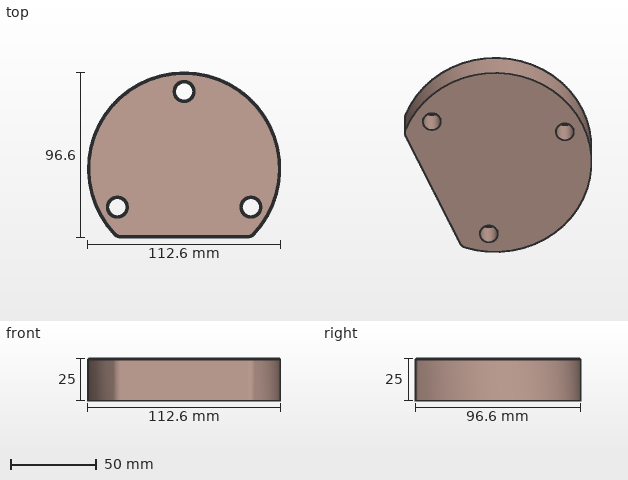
import cadquery as cq

disc_radius = 56.3
flat_distance = 40.3
thickness = 25.0
corner_radius = 5.0
edge_chamfer = 1.0

hole_count = 3
hole_circle_radius = 45.1
hole_diameter = 10.5
first_hole_angle = 90.0


def make_plate():
    disc = cq.Workplane("XY").circle(disc_radius).extrude(thickness)
    kept_depth = disc_radius + flat_distance
    kept_side = (
        cq.Workplane("XY")
        .center(0, (disc_radius - flat_distance) / 2)
        .rect(2 * disc_radius, kept_depth)
        .extrude(thickness)
    )
    plate = disc.intersect(kept_side)
    return plate.faces("<Y").edges("|Z").fillet(corner_radius)


def drill_holes(plate):
    return (
        plate.faces(">Z")
        .workplane(origin=(0, 0, thickness))
        .polarArray(hole_circle_radius, first_hole_angle, 360, hole_count)
        .hole(hole_diameter)
    )


result = drill_holes(make_plate()).faces(">Z").edges().chamfer(edge_chamfer)